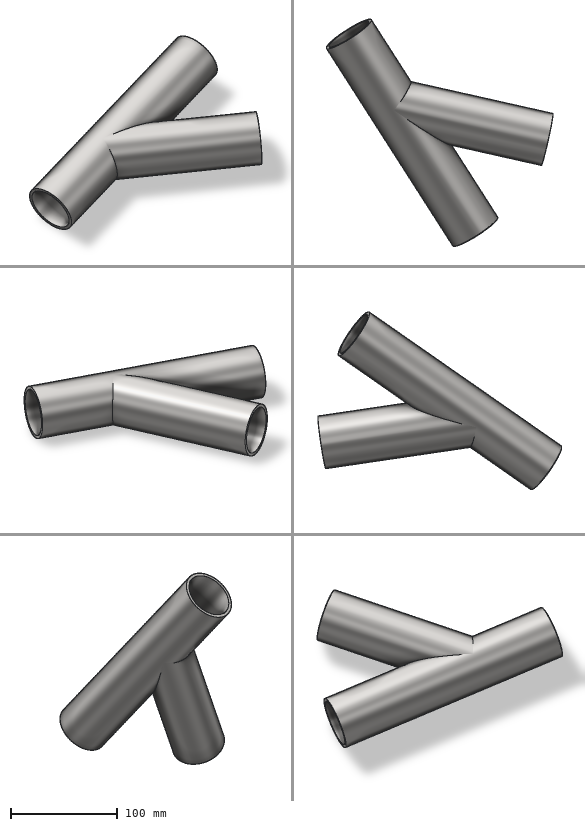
import cadquery as cq

run_length = 223.0
outer_diameter = 50.0
bore_diameter = 44.0
branch_angle = 45.0
branch_length = 147.0
junction_distance = 80.3


def run_cylinder(diameter):
    """Cylinder along +Y, starting at the -Y end of the run."""
    return cq.Workplane("XZ").circle(diameter / 2).extrude(-run_length)


def branch_cylinder(diameter):
    """Cylinder leaving the junction in the XY plane, leaning from +Y toward +X."""
    cylinder = cq.Workplane("XZ").circle(diameter / 2).extrude(-branch_length)
    turned = cylinder.rotate((0, 0, 0), (0, 0, 1), -branch_angle)
    return turned.translate((0, junction_distance, 0))


walls = run_cylinder(outer_diameter).union(branch_cylinder(outer_diameter))
bores = run_cylinder(bore_diameter).union(branch_cylinder(bore_diameter))
result = walls.cut(bores)